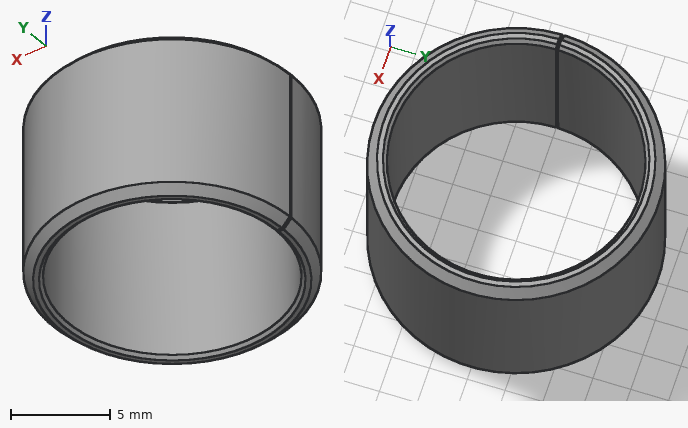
import cadquery as cq

outer_diameter = 15.0
bore_diameter = 13.0
length = 10.0
outer_chamfer = 0.5
bore_chamfer = 0.2
slit_angle = 1.0

outer_radius = outer_diameter / 2
bore_radius = bore_diameter / 2
half_length = length / 2


def make_wall_section():
    """Wall section on the -X side, with both rims chamfered outside and inside."""
    return (
        cq.Workplane("XZ")
        .moveTo(-outer_radius, -half_length + outer_chamfer)
        .lineTo(-outer_radius, half_length - outer_chamfer)
        .lineTo(-outer_radius + outer_chamfer, half_length)
        .lineTo(-bore_radius - bore_chamfer, half_length)
        .lineTo(-bore_radius, half_length - bore_chamfer)
        .lineTo(-bore_radius, -half_length + bore_chamfer)
        .lineTo(-bore_radius - bore_chamfer, -half_length)
        .lineTo(-outer_radius + outer_chamfer, -half_length)
        .close()
    )


def make_split_sleeve():
    """Sweep from -X through -Y, stopping short of a full turn on the +Y side of the slit."""
    sweep_angle = 360 - slit_angle
    return make_wall_section().revolve(sweep_angle, (0, 0, 0), (0, 1, 0))


result = make_split_sleeve()